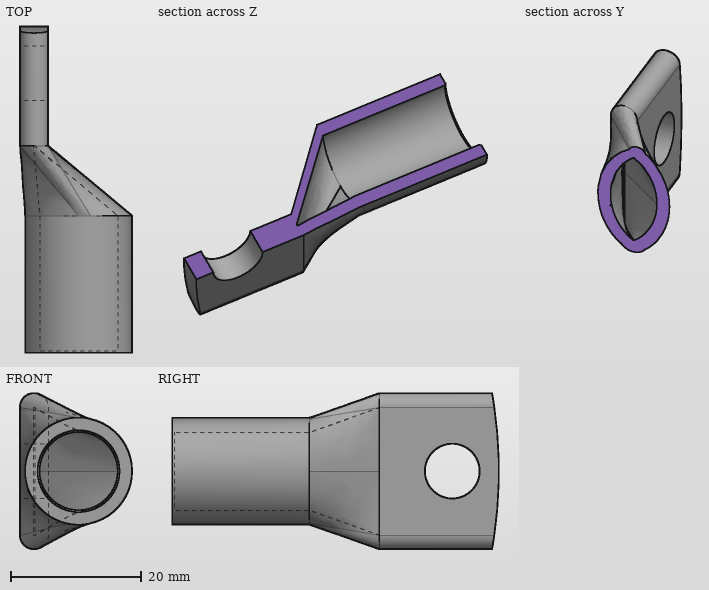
import cadquery as cq

TOTAL_LENGTH = 50.15
BARREL_LENGTH = 21.05
TONGUE_START = 31.8

BARREL_DIAMETER = 16.45
BORE_DIAMETER = 12.0
BORE_CHAMFER = 0.3

TOTAL_WIDTH_X = 17.25
TONGUE_HEIGHT = 24.0
TONGUE_THICKNESS = 4.35
TONGUE_OUTER_FACE_X = BARREL_DIAMETER / 2 - TOTAL_WIDTH_X
TONGUE_CENTER_X = TONGUE_OUTER_FACE_X + TONGUE_THICKNESS / 2
TIP_CORNER_SETBACK = 1.05

HOLE_DIAMETER = 8.4
HOLE_Y = 43.0

CAVITY_END_THICKNESS = 0.25
CAVITY_END_HEIGHT = TONGUE_HEIGHT - TONGUE_THICKNESS


def circle_wire(diameter, y):
    """Circle around the Y axis at the given distance along it."""
    return cq.Wire.makeCircle(diameter / 2, cq.Vector(0, y, 0), cq.Vector(0, 1, 0))


def rounded_bar_wire(thickness, height, y):
    """Bar section with half-round ends, starting in the middle of its +X face."""
    radius = thickness / 2
    half_flat = height / 2 - radius
    right = TONGUE_CENTER_X + radius
    left = TONGUE_CENTER_X - radius
    plane = cq.Plane(origin=(0, y, 0), xDir=(1, 0, 0), normal=(0, 1, 0))
    return (
        cq.Workplane(plane)
        .moveTo(right, 0)
        .lineTo(right, half_flat)
        .threePointArc((TONGUE_CENTER_X, height / 2), (left, half_flat))
        .lineTo(left, -half_flat)
        .threePointArc((TONGUE_CENTER_X, -height / 2), (right, -half_flat))
        .close()
        .val()
    )


def make_transition(diameter, thickness, height):
    """Straight-sided blend from a round section to a rounded bar section."""
    sections = [
        circle_wire(diameter, BARREL_LENGTH),
        rounded_bar_wire(thickness, height, TONGUE_START),
    ]
    return cq.Workplane(obj=cq.Solid.makeLoft(sections, True))


def make_cylinder(diameter, length):
    """Cylinder along +Y from the open end of the barrel."""
    return cq.Workplane("XZ").circle(diameter / 2).extrude(-length)


def make_tongue():
    """Rounded bar with a shallow arc across its tip and a stud hole."""
    section = rounded_bar_wire(TONGUE_THICKNESS, TONGUE_HEIGHT, TONGUE_START)
    length = TOTAL_LENGTH - TONGUE_START
    bar = cq.Workplane(obj=cq.Solid.extrudeLinear(section, [], cq.Vector(0, length, 0)))

    half_height = TONGUE_HEIGHT / 2
    corner_y = TOTAL_LENGTH - TIP_CORNER_SETBACK
    side_plane = cq.Workplane("YZ", origin=(TONGUE_OUTER_FACE_X, 0, 0))
    outline = (
        side_plane
        .moveTo(TONGUE_START, -half_height)
        .lineTo(corner_y, -half_height)
        .threePointArc((TOTAL_LENGTH, 0), (corner_y, half_height))
        .lineTo(TONGUE_START, half_height)
        .close()
        .extrude(TONGUE_THICKNESS)
    )
    hole = side_plane.center(HOLE_Y, 0).circle(HOLE_DIAMETER / 2).extrude(TONGUE_THICKNESS)
    return bar.intersect(outline).cut(hole)


def make_cavity():
    """Barrel bore with a chamfered mouth, flattening to a thin slit at the tongue."""
    bore = make_cylinder(BORE_DIAMETER, BARREL_LENGTH)
    flattened_end = make_transition(BORE_DIAMETER, CAVITY_END_THICKNESS, CAVITY_END_HEIGHT)
    mouth = cq.Workplane(
        obj=cq.Solid.makeCone(
            BORE_DIAMETER / 2 + BORE_CHAMFER,
            BORE_DIAMETER / 2,
            BORE_CHAMFER,
            pnt=cq.Vector(0, 0, 0),
            dir=cq.Vector(0, 1, 0),
        )
    )
    return bore.union(flattened_end).union(mouth)


barrel = make_cylinder(BARREL_DIAMETER, BARREL_LENGTH)
transition = make_transition(BARREL_DIAMETER, TONGUE_THICKNESS, TONGUE_HEIGHT)
result = barrel.union(transition).union(make_tongue()).cut(make_cavity())